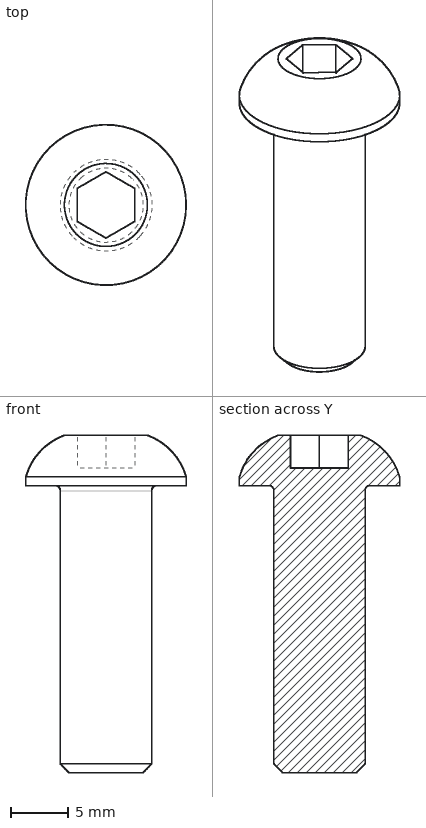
import cadquery as cq
import math

total_length = 29.4
head_height = 4.4
head_diameter = 14.0
rim_height = 0.8
crown_flat_diameter = 7.23
dome_bulge = 0.6
shank_diameter = 8.0
tip_diameter = 6.47
tip_chamfer_height = 0.8
neck_fillet_radius = 0.4
socket_across_flats = 5.0
socket_depth = 2.85

head_radius = head_diameter / 2
crown_radius = crown_flat_diameter / 2
shank_radius = shank_diameter / 2
tip_radius = tip_diameter / 2
shank_length = total_length - head_height


def dome_midpoint():
    """Point on the dome arc, offset outward from the middle of its chord."""
    run = head_radius - crown_radius
    rise = head_height - rim_height
    chord = math.hypot(run, rise)
    middle_radius = (head_radius + crown_radius) / 2
    middle_height = (head_height + rim_height) / 2
    return (
        middle_radius + dome_bulge * rise / chord,
        middle_height + dome_bulge * run / chord,
    )


def screw_body():
    """Domed head, filleted neck, and shank with a chamfered tip, revolved about Z."""
    profile = (
        cq.Workplane("XZ")
        .moveTo(0, -shank_length)
        .lineTo(tip_radius, -shank_length)
        .lineTo(shank_radius, tip_chamfer_height - shank_length)
        .lineTo(shank_radius, -neck_fillet_radius)
        .radiusArc((shank_radius + neck_fillet_radius, 0), neck_fillet_radius)
        .lineTo(head_radius, 0)
        .lineTo(head_radius, rim_height)
        .threePointArc(dome_midpoint(), (crown_radius, head_height))
        .lineTo(0, head_height)
        .close()
    )
    return profile.revolve(360, (0, 0, 0), (0, 1, 0))


def hex_socket():
    """Blind hexagonal socket with two of its flats facing +X and -X."""
    across_corners = socket_across_flats / math.cos(math.pi / 6)
    return (
        cq.Workplane("XY", origin=(0, 0, head_height - socket_depth))
        .transformed(rotate=(0, 0, 30))
        .polygon(6, across_corners)
        .extrude(socket_depth)
    )


result = screw_body().cut(hex_socket())